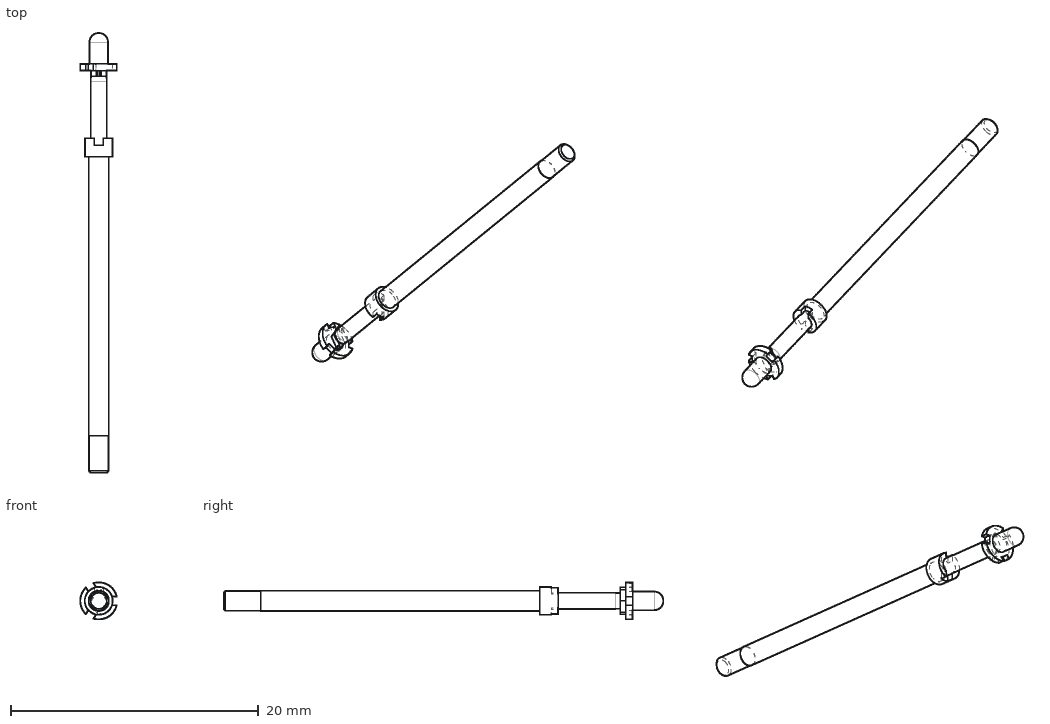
import cadquery as cq
import math

overall_length = 35.5
flange_start = 2.5
flange_end = 3.05
hub_end = 3.5
taper_end = 3.9
collar_start = 8.5
collar_end = 10.0
sleeve_start = 32.5

tip_diameter = 1.52
flange_diameter = 3.0
taper_diameter = 1.28
neck_diameter = 1.32
collar_diameter = 2.25
barrel_diameter = 1.65
sleeve_diameter = 1.6

end_chamfer_length = 0.15
end_face_diameter = 1.3

notch_count = 3
notch_width = 0.7
notch_floor = 1.1

hub_half_height = 1.1
hub_lean = math.radians(30)
lug_start_height = 0.9
lug_peak_height = 1.22

slot_width = 0.7
slot_depth = 0.55


def cylinder(diameter, start, end):
    """Cylinder on the pin axis between two distances behind the tip."""
    plane = cq.Workplane("XZ", origin=(0, -start, 0))
    return plane.circle(diameter / 2).extrude(end - start)


def cone(start_diameter, end_diameter, start, end):
    """Cone on the pin axis between two distances behind the tip."""
    profile = [
        (0, -start),
        (start_diameter / 2, -start),
        (end_diameter / 2, -end),
        (0, -end),
    ]
    return cq.Workplane("XY").polyline(profile).close().revolve(360, (0, 0), (0, 1))


def make_tip():
    tip_radius = tip_diameter / 2
    dome = cq.Workplane("XY").sphere(tip_radius).translate((0, -tip_radius, 0))
    return cylinder(tip_diameter, tip_radius, flange_start).union(dome)


def make_flange():
    flange = cylinder(flange_diameter, flange_start, flange_end)
    thickness = flange_end - flange_start
    middle = (flange_start + flange_end) / 2
    notch = cq.Workplane("XY").box(flange_diameter, thickness, notch_width)
    notch = notch.translate((notch_floor + flange_diameter / 2, -middle, 0))
    for index in range(notch_count):
        angle = index * 360 / notch_count
        flange = flange.cut(notch.rotate((0, 0, 0), (0, 1, 0), angle))
    return flange


def diamond_prism(half_height):
    """Diamond prism behind the flange with its long diagonal along Z."""
    half_width = half_height * math.tan(hub_lean)
    corners = [
        (half_width, 0),
        (0, half_height),
        (-half_width, 0),
        (0, -half_height),
    ]
    plane = cq.Workplane("XZ", origin=(0, -flange_end, 0))
    return plane.polyline(corners).close().extrude(hub_end - flange_end)


def make_hub():
    hub = diamond_prism(hub_half_height)
    middle = (flange_end + hub_end) / 2
    core_band = cq.Workplane("XY").box(
        flange_diameter, hub_end - flange_end, 2 * lug_start_height
    )
    lugs = diamond_prism(lug_peak_height).cut(core_band.translate((0, -middle, 0)))
    return hub.union(lugs.intersect(cylinder(2 * hub_half_height, flange_end, hub_end)))


def make_collar():
    collar = cylinder(collar_diameter, collar_start, collar_end)
    slot = cq.Workplane("XY").box(slot_width, slot_depth, collar_diameter)
    return collar.cut(slot.translate((0, -collar_start - slot_depth / 2, 0)))


def make_rear_end():
    chamfer_start = overall_length - end_chamfer_length
    sleeve = cylinder(sleeve_diameter, sleeve_start, chamfer_start)
    return sleeve.union(cone(sleeve_diameter, end_face_diameter, chamfer_start, overall_length))


result = (
    make_tip()
    .union(make_flange())
    .union(make_hub())
    .union(cone(taper_diameter, neck_diameter, hub_end, taper_end))
    .union(cylinder(neck_diameter, taper_end, collar_end))
    .union(make_collar())
    .union(cylinder(barrel_diameter, collar_end, sleeve_start))
    .union(make_rear_end())
)